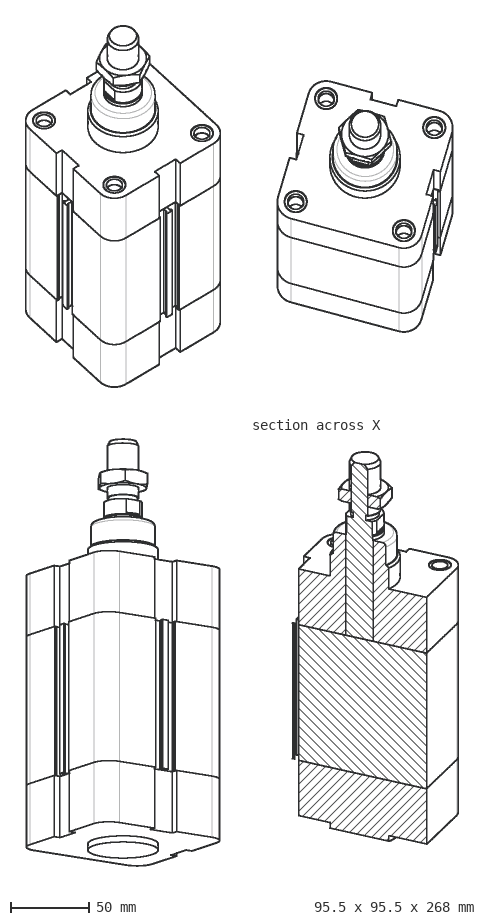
import cadquery as cq
import math

body_width = 95.5
body_half = body_width / 2
corner_radius = 11.8

total_height = 268.0
boss_height = 4.0
cap_height = 40.2
barrel_height = 97.8
rear_cap_bottom = boss_height
barrel_bottom = rear_cap_bottom + cap_height
barrel_top = barrel_bottom + barrel_height
front_cap_top = barrel_top + cap_height
boss_diameter = 45.0

slot_side_angles = (-90, 0, 90)
slot_depth = 4.5
cap_slot_width = 17.2
lip_gap = 15.3
channel_width = 16.5
lip_thickness = 1.5

rail_head_width = 4.5
rail_head_thickness = 1.3
rail_stem_width = 2.7

screw_spacing = 71.8
entry_diameter = 10.2
entry_depth = 5.4
screw_hole_diameter = 10.0
screw_hole_depth = 21.5
counterbore_rim_diameter = 14.5
counterbore_floor_diameter = 14.0
counterbore_depth = 0.3
drill_point_angle = 118

gland_base_height = 15.0
gland_step_chamfer = 1.5
gland_diameter = 41.0
gland_height = 32.5
gland_fillet = 2.5

shaft_diameter = 25.0
neck_diameter = 24.5
undercut_diameter = 18.5
thread_diameter = 20.0
gland_top = front_cap_top + gland_height
shaft_top = gland_top + 2.7
neck_bottom = shaft_top + 0.8
neck_top = gland_top + 13.5
thread_bottom = neck_top + 3.2
thread_chamfer_length = 3.0
thread_chamfer_depth = 1.3
wrench_flat_bottom = neck_bottom + 0.8
wrench_flat_width = 22.0

nut_sides = 6
nut_across_flats = 30.0
nut_across_corners = nut_across_flats / math.cos(math.pi / nut_sides)
nut_thickness = 9.0
nut_bottom = 237.7
nut_edge_drop = 1.0


def square_block(bottom, height):
    """Square block with rounded vertical corners."""
    block = cq.Workplane("XY").workplane(offset=bottom).rect(body_width, body_width).extrude(height)
    return block.edges("|Z").fillet(corner_radius)


def cylinder(diameter, bottom, height):
    return cq.Workplane("XY").workplane(offset=bottom).circle(diameter / 2).extrude(height)


def revolve_about_z(profile):
    """Full turn about the Z axis of an outline given as (radius, height) points."""
    return cq.Workplane("XZ").polyline(profile).close().revolve(360, (0, 0, 0), (0, 1, 0))


def wall_box(width, outer_depth, inner_depth, bottom, height):
    """Box at the -Y wall, spanning two depths measured inward from that wall."""
    thickness = inner_depth - outer_depth
    center_y = -body_half + outer_depth + thickness / 2
    base = cq.Workplane("XY").workplane(offset=bottom).center(0, center_y)
    return base.rect(width, thickness).extrude(height)


def cut_on_slotted_sides(body, cutter):
    """Cut a shape made at the -Y wall into each slotted side."""
    for angle in slot_side_angles:
        body = body.cut(cutter.rotate((0, 0, 0), (0, 0, 1), angle))
    return body


def screw_hole():
    """Counterbored blind hole with a drill point, going down from the origin."""
    hole_radius = screw_hole_diameter / 2
    entry_radius = entry_diameter / 2
    rim_radius = counterbore_rim_diameter / 2
    floor_radius = counterbore_floor_diameter / 2
    point_length = hole_radius / math.tan(math.radians(drill_point_angle / 2))
    profile = [
        (0, 0),
        (rim_radius, 0),
        (floor_radius, -counterbore_depth),
        (entry_radius, -counterbore_depth),
        (entry_radius, -entry_depth),
        (hole_radius, -entry_depth),
        (hole_radius, -screw_hole_depth),
        (0, -screw_hole_depth - point_length),
    ]
    return revolve_about_z(profile)


def end_cap(bottom):
    """Rounded square block with the three side slots."""
    cap = square_block(bottom, cap_height)
    return cut_on_slotted_sides(cap, wall_box(cap_slot_width, 0, slot_depth, bottom, cap_height))


def drill_screw_holes(cap):
    """Drill the four screw holes down from the front cap's top face."""
    hole = screw_hole()
    for side_x in (-1, 1):
        for side_y in (-1, 1):
            place = (side_x * screw_spacing / 2, side_y * screw_spacing / 2, front_cap_top)
            cap = cap.cut(hole.translate(place))
    return cap


def make_rear_cap():
    return end_cap(rear_cap_bottom).union(cylinder(boss_diameter, 0, boss_height))


def make_front_cap():
    gland_base = cylinder(boss_diameter, front_cap_top, gland_base_height + gland_step_chamfer)
    gland_base = gland_base.faces(">Z").chamfer(gland_step_chamfer)
    gland = cylinder(gland_diameter, front_cap_top, gland_height).faces(">Z").fillet(gland_fillet)
    cap = drill_screw_holes(end_cap(barrel_top))
    cap = cap.union(gland_base).union(gland)
    return cap.cut(cylinder(shaft_diameter, barrel_top, gland_top - barrel_top))


def make_barrel():
    opening = wall_box(lip_gap, 0, lip_thickness, barrel_bottom, barrel_height)
    channel = wall_box(channel_width, lip_thickness, slot_depth, barrel_bottom, barrel_height)
    rail_head = wall_box(rail_head_width, 0, rail_head_thickness, barrel_bottom, barrel_height)
    rail_stem = wall_box(rail_stem_width, rail_head_thickness, slot_depth, barrel_bottom, barrel_height)
    cutter = opening.union(channel).cut(rail_head).cut(rail_stem)
    return cut_on_slotted_sides(square_block(barrel_bottom, barrel_height), cutter)


def make_rod():
    profile = [
        (0, barrel_top),
        (shaft_diameter / 2, barrel_top),
        (shaft_diameter / 2, shaft_top),
        (neck_diameter / 2, neck_bottom),
        (neck_diameter / 2, neck_top),
        (undercut_diameter / 2, neck_top),
        (undercut_diameter / 2, thread_bottom),
        (thread_diameter / 2, thread_bottom),
        (thread_diameter / 2, total_height - thread_chamfer_length),
        (thread_diameter / 2 - thread_chamfer_depth, total_height),
        (0, total_height),
    ]
    rod = revolve_about_z(profile)
    flat_height = neck_top - wrench_flat_bottom
    flats_slab = (
        cq.Workplane("XY")
        .workplane(offset=wrench_flat_bottom)
        .rect(shaft_diameter, wrench_flat_width)
        .extrude(flat_height)
    )
    outside_flats = cylinder(shaft_diameter, wrench_flat_bottom, flat_height).cut(flats_slab)
    return rod.cut(outside_flats)


def make_nut():
    """Hexagon with corners along X, its corners turned down on both faces."""
    hexagon = (
        cq.Workplane("XY")
        .workplane(offset=nut_bottom)
        .polygon(nut_sides, nut_across_corners)
        .extrude(nut_thickness)
    )
    face_radius = nut_across_flats / 2
    outer_radius = nut_across_corners / 2
    nut_top = nut_bottom + nut_thickness
    turned_profile = [
        (0, nut_bottom),
        (face_radius, nut_bottom),
        (outer_radius, nut_bottom + nut_edge_drop),
        (outer_radius, nut_top - nut_edge_drop),
        (face_radius, nut_top),
        (0, nut_top),
    ]
    turned = revolve_about_z(turned_profile)
    return hexagon.intersect(turned).cut(cylinder(thread_diameter, nut_bottom, nut_thickness))


rear_cap = make_rear_cap()
barrel = make_barrel()
front_cap = make_front_cap()
rod = make_rod()
nut = make_nut()

result = cq.Compound.makeCompound([
    rear_cap.val(),
    barrel.val(),
    front_cap.val(),
    rod.val(),
    nut.val(),
])